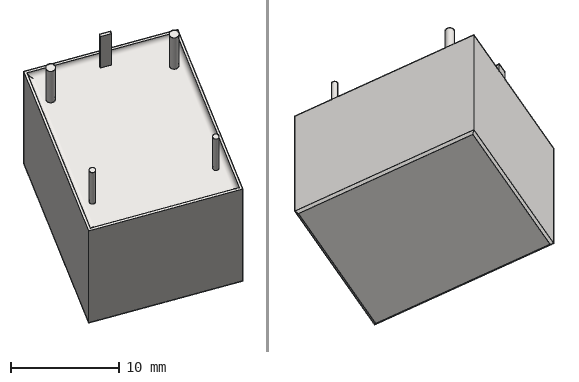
import cadquery as cq

total_height = 19.5
case_length = 19.0
case_width = 15.0
case_height = 15.0

bottom_chamfer = 0.25
rim_width = 0.25
recess_depth = 0.5
cove_radius = recess_depth

pin_x = 6.1
pin_y = 6.0
thick_pin_diameter = 0.9
thin_pin_diameter = 0.6
blade_x = -8.11
blade_thickness = 0.3
blade_width = 1.1

floor_z = case_height - recess_depth
pin_length = total_height - floor_z


def make_case():
    """Box with a chamfered bottom and a shallow recess whose walls curve into its floor."""
    case = cq.Workplane("XY").box(case_length, case_width, case_height, centered=(True, True, False))
    case = case.faces("<Z").edges().chamfer(bottom_chamfer)
    return case.cut(make_recess())


def make_recess():
    """Recess volume: concave coves along all four sides, mitred at the corners."""
    opening_length = case_length - 2 * rim_width
    opening_width = case_width - 2 * rim_width
    across_x = cove_prism("XZ", opening_length, opening_width)
    across_y = cove_prism("YZ", opening_width, opening_length)
    return across_x.intersect(across_y)


def cove_prism(plane, opening, run):
    """Prism with two quarter-round lower corners, centred on its plane."""
    half_opening = opening / 2
    half_floor = half_opening - cove_radius
    arc_center_z = floor_z + cove_radius
    diagonal = cove_radius * 0.5**0.5
    return (
        cq.Workplane(plane)
        .moveTo(-half_floor, floor_z)
        .lineTo(half_floor, floor_z)
        .threePointArc((half_floor + diagonal, arc_center_z - diagonal), (half_opening, case_height))
        .lineTo(-half_opening, case_height)
        .threePointArc((-half_floor - diagonal, arc_center_z - diagonal), (-half_floor, floor_z))
        .close()
        .extrude(run / 2, both=True)
    )


def make_round_pins(x, diameter):
    """Pair of round pins standing on the recess floor, mirrored about the XZ plane."""
    return (
        cq.Workplane("XY", origin=(0, 0, floor_z))
        .pushPoints([(x, -pin_y), (x, pin_y)])
        .circle(diameter / 2)
        .extrude(pin_length)
    )


def make_blade():
    """Flat pin standing on the recess floor."""
    return (
        cq.Workplane("XY", origin=(blade_x, 0, floor_z))
        .rect(blade_thickness, blade_width)
        .extrude(pin_length)
    )


result = (
    make_case()
    .union(make_round_pins(-pin_x, thick_pin_diameter))
    .union(make_round_pins(pin_x, thin_pin_diameter))
    .union(make_blade())
)